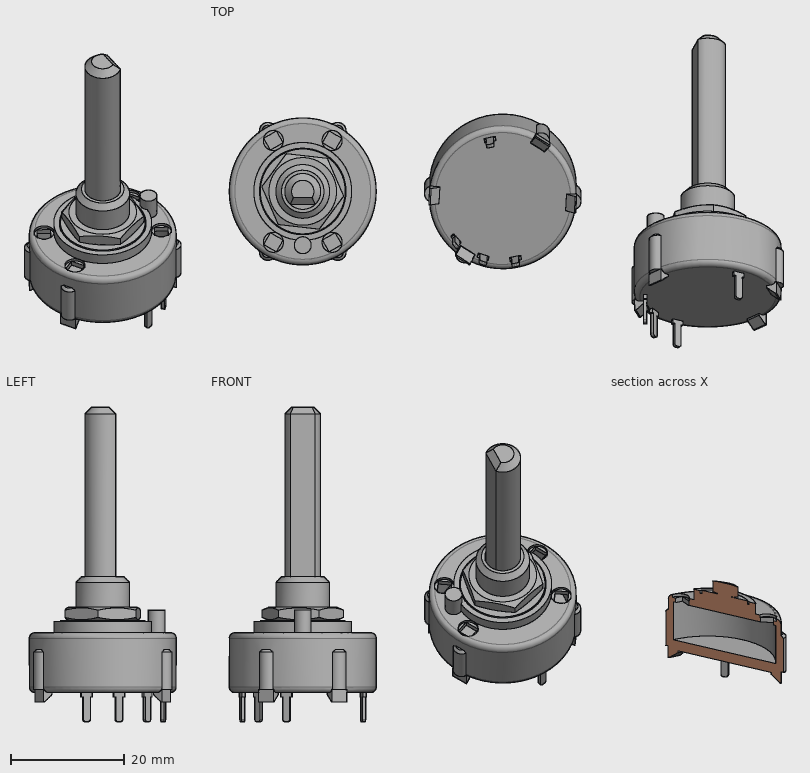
import cadquery as cq
import math


housing_dia = 26.0
housing_height = 10.6
housing_fillet = 1.0
chamber_dia = 24.0
lid_thickness = 1.4
base_thickness = 2.0

collar_dia = 17.3
collar_top = 12.6
washer_dia = 15.0
washer_recess_dia = 15.3
washer_recess_depth = 0.5
washer_top = 12.75
nut_top = 15.12
nut_across_flats = 12.6
nut_corner_chamfer = 1.3
nut_chamfer_height = 0.55
nut_turn = -6.5

bushing_dia = 9.5
bushing_top = 20.5
bushing_chamfer = 1.0
shaft_dia = 6.35
shaft_top = 50.46
shaft_chamfer = 1.2
shaft_flat_offset = 2.3
shaft_bore_depth = 3.0

post_dia = 3.0
post_radius = 9.5
post_top = 14.6

clip_angles = (60, 120, 240, 300)
window_radius = 10.38
window_recess_dia = 3.55
window_recess_depth = 0.5
window_radial = 2.4
window_tangential = 2.6

clip_width = 3.0
clip_axis_radius = 12.35
clip_bottom = 0.55
clip_top = 7.65
clip_chamfer = 0.5
hook_bottom = -1.65
hook_tip = 0.25
hook_reach = 1.8
hook_step = 0.35

pin_angles = (15, 195, 225, 255)
pin_radius = 11.05
pin_width = 1.3
pin_thickness = 0.6
pin_length = 5.15
pin_shoulder_width = 2.0
pin_shoulder_length = 0.8
pin_tip_radius = 0.45

overlap = 0.5


def disc(diameter, bottom, top):
    """Cylinder on the Z axis between two heights."""
    return cq.Workplane("XY").workplane(offset=bottom).circle(diameter / 2).extrude(top - bottom)


def block(radial, tangential, bottom, top, radius):
    """Upright block centred at a given distance along +X."""
    size = cq.Workplane("XY").box(radial, tangential, top - bottom, centered=(True, True, False))
    return size.translate((radius, 0, bottom))


def turned(shape, angle):
    """Shape turned about the switch axis."""
    return shape.rotate((0, 0, 0), (0, 0, 1), angle)


def make_housing():
    body = disc(housing_dia, 0, housing_height).edges().fillet(housing_fillet)
    collar = disc(collar_dia, housing_height - overlap, collar_top)
    groove = disc(washer_recess_dia, collar_top - washer_recess_depth, collar_top)
    return body.union(collar).cut(groove)


def make_chamber():
    return disc(chamber_dia, base_thickness, housing_height - lid_thickness)


def make_window():
    recess = disc(window_recess_dia, housing_height - window_recess_depth, housing_height)
    recess = recess.translate((window_radius, 0, 0))
    opening = block(
        window_radial,
        window_tangential,
        housing_height - lid_thickness,
        housing_height,
        window_radius,
    )
    return recess.union(opening)


def make_nut():
    height = nut_top - washer_top
    corner_radius = nut_across_flats / math.sqrt(3)
    hexagon = cq.Workplane("XY").polygon(6, 2 * corner_radius).extrude(height)
    cone = cq.Workplane("XY").circle(corner_radius).extrude(height)
    cone = cone.edges().chamfer(nut_chamfer_height, nut_corner_chamfer)
    return turned(hexagon.intersect(cone), nut_turn).translate((0, 0, washer_top))


def make_bushing():
    bushing = disc(bushing_dia, collar_top - washer_recess_depth, bushing_top)
    bushing = bushing.faces(">Z").edges().chamfer(bushing_chamfer)
    return bushing.cut(disc(shaft_dia, bushing_top - shaft_bore_depth, bushing_top))


def make_shaft():
    flat_bottom = bushing_top - shaft_bore_depth
    shaft = disc(shaft_dia, flat_bottom - overlap, shaft_top)
    shaft = shaft.faces(">Z").edges().chamfer(shaft_chamfer)
    flat = (
        cq.Workplane("YZ")
        .moveTo(-shaft_dia, flat_bottom)
        .lineTo(-shaft_flat_offset, flat_bottom)
        .lineTo(-shaft_flat_offset, shaft_top - shaft_chamfer)
        .lineTo(-shaft_flat_offset + shaft_chamfer, shaft_top)
        .lineTo(-shaft_dia, shaft_top)
        .close()
        .extrude(shaft_dia, both=True)
    )
    return shaft.cut(flat)


def make_clip():
    rib = disc(clip_width, clip_bottom, clip_top).faces(">Z").edges().chamfer(clip_chamfer)
    rib = rib.translate((clip_axis_radius, 0, 0))
    outer = housing_dia / 2
    tip = outer - hook_tip
    inner = outer - hook_reach
    hook = (
        cq.Workplane("XZ")
        .moveTo(outer, clip_bottom)
        .lineTo(outer, hook_bottom)
        .lineTo(tip, hook_bottom)
        .lineTo(inner, -hook_step)
        .lineTo(inner, clip_bottom)
        .close()
        .extrude(clip_width / 2, both=True)
    )
    return rib.union(hook)


def make_pin():
    blade = block(pin_thickness, pin_width, -pin_length, overlap, pin_radius)
    blade = blade.faces("<Z").edges("|X").fillet(pin_tip_radius)
    shoulder = block(pin_thickness, pin_shoulder_width, -pin_shoulder_length, overlap, pin_radius)
    return blade.union(shoulder)


result = make_housing()
clip = make_clip()
for angle in clip_angles:
    result = result.union(turned(clip, angle))

result = result.cut(make_chamber())

window = make_window()
for angle in clip_angles:
    result = result.cut(turned(window, angle))

pin = make_pin()
for angle in pin_angles:
    result = result.union(turned(pin, angle))

washer = disc(washer_dia, collar_top - washer_recess_depth, washer_top)
post = disc(post_dia, housing_height - overlap, post_top).translate((0, -post_radius, 0))
for piece in (washer, make_nut(), make_bushing(), make_shaft(), post):
    result = result.union(piece)